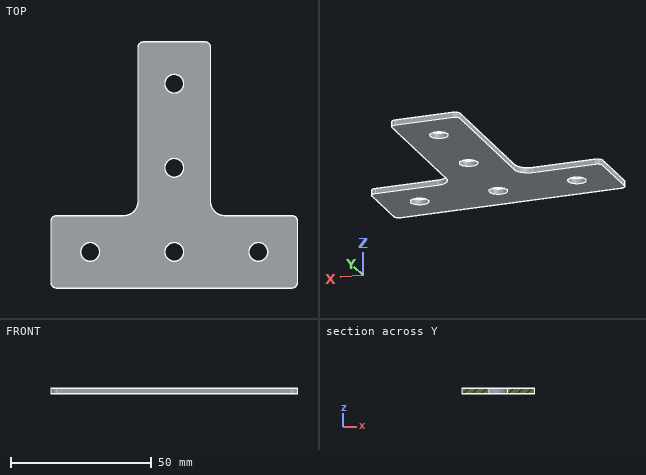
import cadquery as cq

width = 88.0
height = 88.0
thickness = 2.0

arm_width = 26.0
corner_radius = 2.0
inner_radius = 5.0

hole_diameter = 6.6
hole_pitch = 30.0
crossbar_center_y = arm_width / 2


def rounded_bar(length_x, length_y):
    """Plate bar with rounded corners, centred in X and starting at Y = 0."""
    bar = cq.Workplane("XY").box(length_x, length_y, thickness, centered=(True, False, False))
    return bar.edges("|Z").fillet(corner_radius)


def make_plate():
    """Crossbar and stem joined into a T, with fillets where they meet."""
    crossbar = rounded_bar(width, arm_width)
    stem = rounded_bar(arm_width, height - crossbar_center_y).translate((0, crossbar_center_y, 0))
    inner_corners = cq.selectors.BoxSelector(
        (-arm_width, arm_width - inner_radius, 0),
        (arm_width, arm_width + inner_radius, thickness),
    )
    return crossbar.union(stem).edges("|Z").edges(inner_corners).fillet(inner_radius)


def make_holes():
    """Through holes: three along the crossbar and two more up the stem."""
    crossbar_holes = [(i * hole_pitch, crossbar_center_y) for i in (-1, 0, 1)]
    stem_holes = [(0, crossbar_center_y + i * hole_pitch) for i in (1, 2)]
    return (
        cq.Workplane("XY")
        .pushPoints(crossbar_holes + stem_holes)
        .circle(hole_diameter / 2)
        .extrude(thickness)
    )


result = make_plate().cut(make_holes())